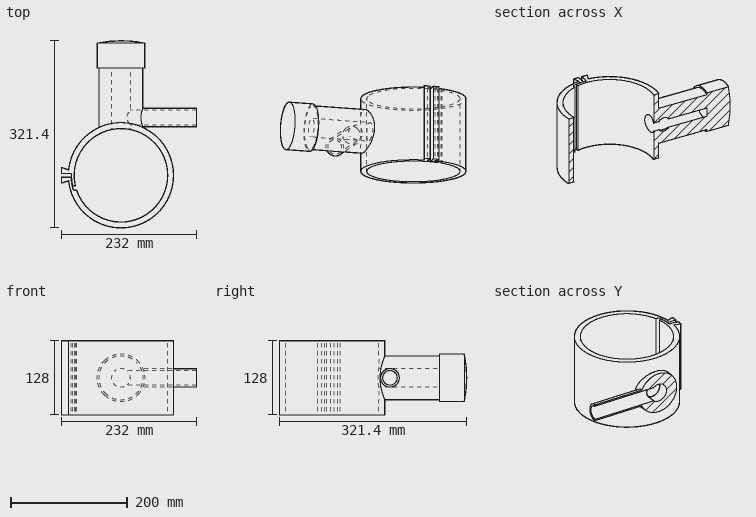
import cadquery as cq
import math

ring_inner_radius = 80.0
ring_outer_radius = 90.4
ring_height = 128.0

lug_face_x = -101.95
lug_face_half_width = 13.8
lug_root_half_width = 9.5
lug_corner_radius = 1.0

slot_half_width = 3.0
tongue_outer_radius = 85.0
lip_inner_radius = 85.3
tongue_end_y = -18.3
shoulder_y = -25.3
slot_corner_radius = 2.0
shoulder_corner_radius = 3.0
cut_margin = 5.0

pipe_radius = 37.75
cap_radius = 41.0
cap_start_y = 184.0
cap_rim_y = 226.7
cap_crown_y = 230.97
branch_bore_radius = 16.0

outlet_radius = 16.0
outlet_bore_radius = 12.5
outlet_y = 99.2
outlet_end_x = 130.0


def left_point(radius, y):
    """Point at the given Y on the -X half of a circle about the ring axis."""
    return (-math.sqrt(radius**2 - y**2), y)


def extrude_ring_height(profile):
    return profile.extrude(ring_height).translate((0, 0, -ring_height / 2))


def make_cylinder_on_ring_axis(radius):
    return extrude_ring_height(cq.Workplane("XY").circle(radius))


def make_lug_block():
    """Both lugs as one block, before the split separates them."""
    root_x, root_y = left_point(ring_outer_radius, lug_root_half_width)
    profile = cq.Workplane("XY").polyline([
        (-lip_inner_radius, root_y),
        (root_x, root_y),
        (lug_face_x, lug_face_half_width),
        (lug_face_x, -lug_face_half_width),
        (root_x, -root_y),
        (-lip_inner_radius, -root_y),
    ]).close()
    block = extrude_ring_height(profile)
    return block.edges("|Z and <X").fillet(lug_corner_radius)


def make_split():
    """Gap that runs in between the lugs, down behind the tongue and into the bore."""
    outside_x = lug_face_x - cut_margin
    inside_x = left_point(ring_inner_radius, shoulder_y)[0] + cut_margin
    slot_corner = left_point(tongue_outer_radius, slot_half_width)
    shoulder_corner = left_point(lip_inner_radius, shoulder_y)
    profile = (
        cq.Workplane("XY")
        .moveTo(outside_x, slot_half_width)
        .lineTo(*slot_corner)
        .threePointArc(
            left_point(tongue_outer_radius, (slot_half_width + tongue_end_y) / 2),
            left_point(tongue_outer_radius, tongue_end_y),
        )
        .lineTo(inside_x, tongue_end_y)
        .lineTo(inside_x, shoulder_y)
        .lineTo(*shoulder_corner)
        .threePointArc(
            left_point(lip_inner_radius, (shoulder_y - slot_half_width) / 2),
            left_point(lip_inner_radius, -slot_half_width),
        )
        .lineTo(outside_x, -slot_half_width)
        .close()
    )
    split = extrude_ring_height(profile)
    for corner, radius in (
        (slot_corner, slot_corner_radius),
        (shoulder_corner, shoulder_corner_radius),
    ):
        nearest = cq.selectors.NearestToPointSelector((*corner, 0))
        split = split.edges("|Z").edges(nearest).fillet(radius)
    return split


def make_branch():
    """Branch pipe and cap turned about the Y axis, with a spherical crown."""
    crown_height = cap_crown_y - cap_rim_y
    crown_radius = (cap_radius**2 + crown_height**2) / (2 * crown_height)
    mid_x = cap_radius / 2
    mid_y = cap_crown_y - crown_radius + math.sqrt(crown_radius**2 - mid_x**2)
    return (
        cq.Workplane("XY")
        .lineTo(pipe_radius, 0)
        .lineTo(pipe_radius, cap_start_y)
        .lineTo(cap_radius, cap_start_y)
        .lineTo(cap_radius, cap_rim_y)
        .threePointArc((mid_x, mid_y), (0, cap_crown_y))
        .close()
        .revolve(360, (0, 0, 0), (0, 1, 0))
    )


def make_branch_bore():
    """Blind bore from the ring axis along the branch, ending at the cap."""
    return cq.Workplane("XZ").circle(branch_bore_radius).extrude(-cap_start_y)


def make_outlet_cylinder(radius):
    """Cylinder from the branch axis to the open end of the outlet."""
    return cq.Workplane("YZ").center(outlet_y, 0).circle(radius).extrude(outlet_end_x)


body = make_cylinder_on_ring_axis(ring_outer_radius)
body = body.union(make_lug_block())
body = body.union(make_branch())
body = body.union(make_outlet_cylinder(outlet_radius)).clean()

body = body.cut(make_cylinder_on_ring_axis(ring_inner_radius))
body = body.cut(make_split())
body = body.cut(make_branch_bore())
result = body.cut(make_outlet_cylinder(outlet_bore_radius)).clean()